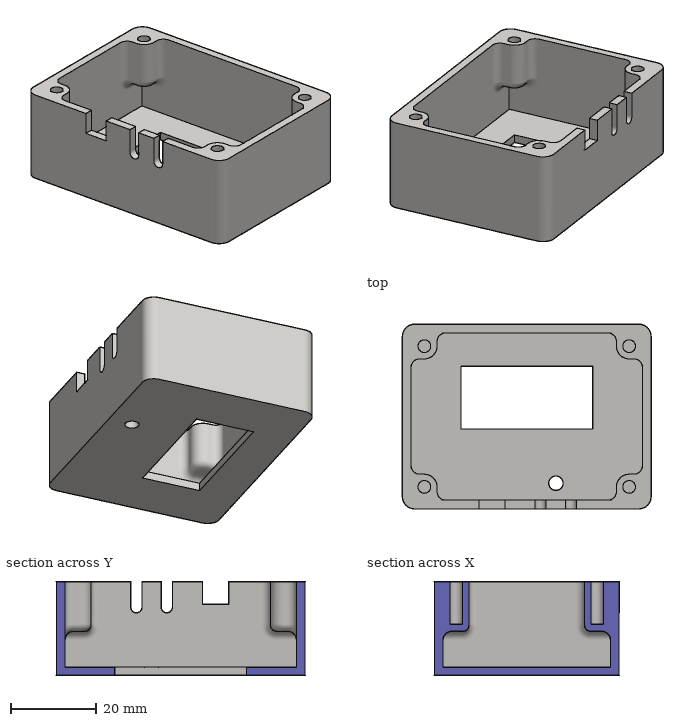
import cadquery as cq

length = 58.4
width = 43.4
height = 22.0
outer_radius = 3.0
wall = 2.1
floor = 2.0

screw_inset = 5.2
screw_diameter = 3.0
screw_depth = 10.0
post_radius = 3.0
post_height = 11.7
post_blend_radius = 2.0
post_end_round = 1.5

window_length = 30.8
window_width = 14.65
window_left = 13.85
window_front = 18.8
button_x = 36.05
button_y = 6.1
button_diameter = 3.3

notch_left = 18.0
notch_length = 6.1
notch_depth = 5.25
slot_width = 2.55
slot_spacing = 7.1
slot_depth = 7.3

cavity_length = length - 2 * wall
cavity_width = width - 2 * wall
post_reach = screw_inset + post_radius - wall


def make_case():
    """Rounded block with a sharp-cornered rectangular cavity."""
    block = (
        cq.Workplane("XY")
        .box(length, width, height, centered=False)
        .edges("|Z")
        .fillet(outer_radius)
    )
    cavity = (
        cq.Workplane("XY", origin=(wall, wall, floor))
        .box(cavity_length, cavity_width, height, centered=False)
    )
    return block.cut(cavity)


def make_post():
    """Front-left corner post with a rounded inner corner and a rounded lower end."""
    return (
        cq.Workplane("XY", origin=(wall, wall, height - post_height))
        .box(post_reach, post_reach, post_height, centered=False)
        .edges("|Z and >X and >Y")
        .fillet(post_radius)
        .faces("<Z")
        .edges("not (<X or <Y)")
        .fillet(post_end_round)
    )


def blend_posts(case):
    """Fillet the posts into the cavity walls, along their sides and underneath."""
    tolerance = 0.05
    low = height - post_height - tolerance
    high = height - tolerance
    for x in (wall, length - wall):
        for y in (wall, width - wall):
            inward_x = 1 if x < length / 2 else -1
            inward_y = 1 if y < width / 2 else -1
            far_x = x + inward_x * (post_reach + tolerance)
            far_y = y + inward_y * (post_reach + tolerance)
            on_x_wall = cq.selectors.BoxSelector(
                (x - tolerance, y, low), (x + tolerance, far_y, high)
            )
            on_y_wall = cq.selectors.BoxSelector(
                (x, y - tolerance, low), (far_x, y + tolerance, high)
            )
            case = case.edges(on_x_wall + on_y_wall).fillet(post_blend_radius)
    return case


def mirror_to_corners(corner):
    """Copy a front-left feature to all four corners."""
    front = corner.union(corner.mirror("YZ", (length / 2, 0, 0)))
    return front.union(front.mirror("XZ", (0, width / 2, 0)))


def make_screw_hole():
    return (
        cq.Workplane("XY", origin=(screw_inset, screw_inset, height - screw_depth))
        .circle(screw_diameter / 2)
        .extrude(screw_depth)
    )


def make_floor_openings():
    window = (
        cq.Workplane("XY", origin=(window_left, window_front, 0))
        .box(window_length, window_width, floor, centered=False)
    )
    button = cq.Workplane("XY", origin=(button_x, button_y, 0)).circle(button_diameter / 2).extrude(floor)
    return window.union(button)


def make_slot(center_x):
    """Vertical slot with a round bottom, through the front wall."""
    round_z = height - slot_depth + slot_width / 2
    shaft = (
        cq.Workplane("XY", origin=(center_x - slot_width / 2, 0, round_z))
        .box(slot_width, wall, height - round_z, centered=False)
    )
    bottom = cq.Workplane("XZ", origin=(center_x, 0, round_z)).circle(slot_width / 2).extrude(-wall)
    return shaft.union(bottom)


notch = (
    cq.Workplane("XY", origin=(notch_left, 0, height - notch_depth))
    .box(notch_length, wall, notch_depth, centered=False)
)

result = (
    blend_posts(make_case().union(mirror_to_corners(make_post())))
    .cut(mirror_to_corners(make_screw_hole()))
    .cut(make_floor_openings())
    .cut(notch)
)
for side in (-1, 1):
    result = result.cut(make_slot(button_x + side * slot_spacing / 2))